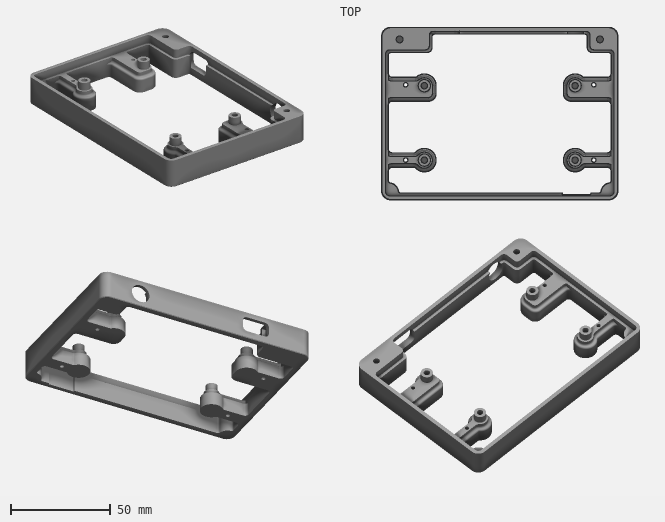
import cadquery as cq

length = 119.2
width = 87.0
height = 15.1
corner_radius = 4.5
base_chamfer = 0.4

rim_thickness = 2.0
ledge_width = 1.4
ledge_z = 10.5
wall_thickness = rim_thickness + ledge_width
wall_inner_x = length / 2 - wall_thickness
wall_inner_y = width / 2 - wall_thickness
rim_corner_radius = 2.0
wall_corner_radius = 1.2

left_block_length = 24.1
right_block_length = 14.1
block_width = 11.3
upper_block_radius = 2.0
lower_block_radius = 2.7

screw_hole_x = 50.6
screw_hole_y = 37.5
screw_hole_diameter = 3.5
screw_hole_depth = 7.2

pad_radius = 5.0
pad_centre_x = 56.0
pad_centre_y = -40.0
pad_root_radius = 1.1

boss_x = 38.0
boss_radius = 6.0
front_boss_y = -23.5
rear_boss_y = 14.1
front_bar_half_width = 3.7
rear_bar_front_y = 6.2
rear_bar_rear_y = 18.4
rear_bar_corner_radius = 3.9
neck_radius = 1.0
root_radius = 1.9

shoulder_z = 7.9
shoulder_radius = 1.0
shoulder_flat = 0.02
plateau_inset = 2 * shoulder_radius + shoulder_flat

arm_hole_x = 47.5
front_arm_hole_y = front_boss_y
rear_arm_hole_y = 14.5
arm_hole_diameter = 2.1

standoff_diameter = 6.2
standoff_bore = 3.2
standoff_height = 4.3

port_x = 38.3
port_z = 7.5
port_diameter = 10.0
slot_x = -27.7
slot_z = 8.1
slot_length = 14.8
slot_height = 8.3
slot_corner_radius = 2.4

relief_left_x = 31.6
relief_right_x = 46.1
relief_depth = 0.8
relief_slope = 0.5

pick_margin = 0.1


def slab(x_low, x_high, y_low, y_high, z_low, z_high):
    size = (x_high - x_low, y_high - y_low, z_high - z_low)
    return cq.Workplane("XY").box(*size, centered=False).translate((x_low, y_low, z_low))


def cylinder(x, y, radius, z_low, z_high):
    return cq.Workplane("XY").circle(radius).extrude(z_high - z_low).translate((x, y, z_low))


def fillet_uprights(body, x_low, x_high, y_low, y_high, radius):
    """Round the vertical edges of a body whose places fall inside the given range."""
    corners = cq.selectors.BoxSelector(
        (x_low - pick_margin, y_low - pick_margin, 0),
        (x_high + pick_margin, y_high + pick_margin, height),
    )
    return body.edges("|Z").edges(corners).fillet(radius)


def cavity(inset, corner, block_corner, z_low, z_high):
    """Space inside the walls, stepped round the two rear blocks; inset moves its sides inwards."""
    side_x = length / 2 - rim_thickness - inset
    rear_y = width / 2 - rim_thickness - inset
    block_y = width / 2 - block_width - inset
    left_x = -length / 2 + left_block_length + inset
    right_x = length / 2 - right_block_length - inset
    space = slab(-side_x, side_x, -rear_y, block_y, z_low, z_high)
    space = space.union(slab(left_x, right_x, block_y, rear_y, z_low, z_high))
    space = fillet_uprights(space, left_x, right_x, block_y, block_y, block_corner)
    space = fillet_uprights(space, left_x, right_x, rear_y, rear_y, corner)
    for x in (-side_x, side_x):
        space = fillet_uprights(space, x, x, -rear_y, block_y, corner)
    return space


def shell():
    """Outer frame with its rim, ledge and solid rear blocks."""
    body = slab(-length / 2, length / 2, -width / 2, width / 2, 0, height)
    body = body.edges("|Z").fillet(corner_radius).faces("<Z").edges().chamfer(base_chamfer)
    body = body.cut(cavity(ledge_width, wall_corner_radius, lower_block_radius, 0, ledge_z))
    return body.cut(cavity(0, rim_corner_radius, upper_block_radius, ledge_z, height))


def corner_pad():
    """Pad in the right front corner, blended into strips of the two walls."""
    rim_x = length / 2 - rim_thickness
    rim_y = -width / 2 + rim_thickness
    reach = 2 * pad_radius
    pad = cylinder(pad_centre_x, pad_centre_y, pad_radius, 0, ledge_z)
    pad = pad.union(slab(pad_centre_x - reach, rim_x + reach, rim_y - reach, -wall_inner_y, 0, ledge_z))
    pad = pad.union(slab(wall_inner_x, rim_x + reach, rim_y - reach, pad_centre_y + reach, 0, ledge_z))
    left_x = pad_centre_x - pad_radius
    rear_y = pad_centre_y + pad_radius
    pad = fillet_uprights(pad, left_x, wall_inner_x, -wall_inner_y, rear_y, pad_root_radius)
    return pad.intersect(slab(pad_centre_x - reach, rim_x, rim_y, pad_centre_y + reach, 0, ledge_z))


def front_bar():
    """Right-hand bar centred on its boss."""
    y_low = front_boss_y - front_bar_half_width
    y_high = front_boss_y + front_bar_half_width
    return slab(boss_x, length / 2, y_low, y_high, 0, shoulder_z), y_low, y_high


def rear_bar():
    """Right-hand bar widened towards the front, its end flush with the boss."""
    front_part = slab(boss_x - boss_radius, length / 2, rear_bar_front_y, rear_boss_y, 0, shoulder_z)
    front_part = front_part.edges("|Z and <X and <Y").fillet(rear_bar_corner_radius)
    rear_part = slab(boss_x, length / 2, rear_boss_y, rear_bar_rear_y, 0, shoulder_z)
    return front_part.union(rear_part), rear_bar_front_y, rear_bar_rear_y


def arm(bar, bar_front_y, bar_rear_y, boss_y, hole_y):
    """Right-hand arm with its boss, stepped edges and hole, joined to a strip of the side wall."""
    strip_end = length / 2 + boss_radius
    strip_front_y = bar_front_y - 2 * boss_radius
    strip_rear_y = bar_rear_y + 2 * boss_radius
    base = bar.union(cylinder(boss_x, boss_y, boss_radius, 0, shoulder_z)).clean()
    neck_front_y = boss_y - boss_radius
    neck_rear_y = boss_y + boss_radius
    base = fillet_uprights(
        base, boss_x + boss_radius / 2, boss_x + boss_radius, neck_front_y, neck_rear_y, neck_radius
    )
    base = base.union(slab(wall_inner_x, strip_end, strip_front_y, strip_rear_y, 0, shoulder_z))
    base = fillet_uprights(base, wall_inner_x, wall_inner_x, bar_front_y, bar_rear_y, root_radius)

    plateau_outline = base.faces(">Z").wires().toPending().workplane().offset2D(-plateau_inset)
    body = base.union(plateau_outline.extrude(ledge_z - shoulder_z, combine=False))
    shoulder = body.faces("|Z").faces(">Z[-2]")
    body = shoulder.edges().fillet(shoulder_radius)

    body = body.cut(cylinder(arm_hole_x, hole_y, arm_hole_diameter / 2, 0, ledge_z))
    rim_x = length / 2 - rim_thickness
    return body.intersect(slab(0, rim_x, strip_front_y, strip_rear_y, 0, ledge_z))


def rear_wall_openings():
    """Rounded slot and round port through the rear wall."""
    plane = cq.Workplane("XZ", origin=(0, width / 2, 0))
    slot = plane.center(slot_x, slot_z).rect(slot_length, slot_height).extrude(wall_thickness)
    slot = slot.edges("|Y").fillet(slot_corner_radius)
    port = plane.center(port_x, port_z).circle(port_diameter / 2).extrude(wall_thickness)
    return slot.union(port)


def front_wall_relief():
    outline = [
        (relief_left_x, -wall_inner_y),
        (relief_right_x, -wall_inner_y),
        (relief_right_x - relief_slope, -wall_inner_y - relief_depth),
        (relief_left_x, -wall_inner_y - relief_depth),
    ]
    return cq.Workplane("XY").polyline(outline).close().extrude(ledge_z)


def screw_hole(x):
    return cylinder(x, screw_hole_y, screw_hole_diameter / 2, height - screw_hole_depth, height)


def frame():
    body = shell()
    right_side_parts = [
        corner_pad(),
        arm(*front_bar(), front_boss_y, front_arm_hole_y),
        arm(*rear_bar(), rear_boss_y, rear_arm_hole_y),
    ]
    for part in right_side_parts:
        body = body.union(part).union(part.mirror("YZ"))
    body = body.cut(rear_wall_openings()).cut(front_wall_relief())
    for x in (-screw_hole_x, screw_hole_x):
        body = body.cut(screw_hole(x))
    return body


def standoff(x, y):
    """Tubular standoff that rests on the plateau of an arm."""
    top_z = ledge_z + standoff_height
    tube = cylinder(x, y, standoff_diameter / 2, ledge_z, top_z)
    return tube.cut(cylinder(x, y, standoff_bore / 2, ledge_z, top_z))


standoffs = []
for boss_y in (front_boss_y, rear_boss_y):
    for x in (-boss_x, boss_x):
        standoffs.append(standoff(x, boss_y).val())

housing = frame()
result = cq.Compound.makeCompound([*housing.vals(), *standoffs])